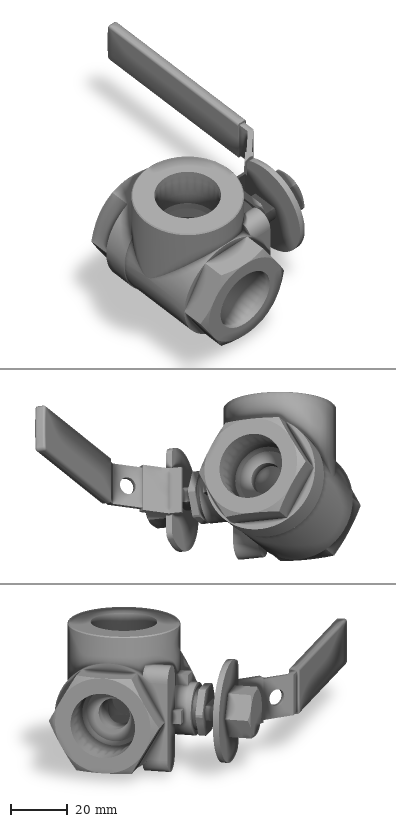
import cadquery as cq
import math


hex_flat_ratio = math.sqrt(3) / 2

overall_length = 129
end_reach = 29.9
body_half_length = 20.1
body_dia = 40.1
collar_dia = 41.0
collar_length = 9.3
branch_dia = 39.7
branch_edge_chamfer = 0.4
hex_corner_dia = 40.1
chamfer_angle = 30

mouth_dia = 23.5
thread_end_dia = 22.6
thread_depth = 10.7
seat_dia = 20.0
seat_depth = 16.3
passage_dia = 11.4
ball_dia = 22.6

boss_dia = 19.0
boss_top = 26.7
boss_sink = 5.2
neck_dia = 15.0
gland_bottom = 28.4
gland_top = 31.0
gland_flats = 16.9
stem_dia = 11.4
stem_flats = 5.3
nut_top = 48.1
nut_corner_dia = 18.7
nut_turn = -3

lug_reach = 12.9
lug_bottom = 11.9
lug_top = 24.1
side_lug_width = 4.8
front_lug_width = 5.7
pad_width = 10.5
pad_length = 38.7
pad_bottom = lug_bottom
pad_top = 21.0

sheet = 2.2
plate_bottom = 37.0
plate_top = plate_bottom + sheet
plate_radius = 18.3
plate_flat_x = -9.3
plate_corner_radius = 2.6
lever_width = 16.6
arm_width = 14.8
arm_step_y = 44.9
arm_thickness = 1.9
root_thickness = 2.8
handle_y = 54.0
arm_bend_x = -25.8
arm_hole_dia = 6.0
arm_hole_y = 48.9
tab_left = -11.5
tab_thickness = 1.0
tab_bottom = 32.8

grip_length = 68.5
grip_thickness = 3.9
grip_edge_radius = 0.9
grip_corner_radius = 1.3
grip_left = end_reach - overall_length
grip_end_bulge = 0.5


def cylinder_y(diameter, bottom, top):
    return cq.Workplane("XZ", origin=(0, bottom, 0)).circle(diameter / 2).extrude(bottom - top)


def box_between(x0, x1, y0, y1, width):
    """Block spanning the given X and Y ranges, centred on Z = 0."""
    return cq.Workplane("XY").box(x1 - x0, y1 - y0, width).translate(((x0 + x1) / 2, (y0 + y1) / 2, 0))


def chamfered_hexagon(corner_dia, length):
    """Hexagonal bar along +Z from the origin, corners turned off at its far end."""
    corner_radius = corner_dia / 2
    flat_radius = corner_radius * hex_flat_ratio
    drop = (corner_radius - flat_radius) * math.tan(math.radians(chamfer_angle))
    profile = [
        (0, 0),
        (corner_radius, 0),
        (corner_radius, length - drop),
        (flat_radius, length),
        (0, length),
    ]
    turned = (
        cq.Workplane("XZ")
        .polyline(profile)
        .close()
        .revolve(360, (0, 0), (0, 1))
    )
    return cq.Workplane("XY").polygon(6, corner_dia).extrude(length).intersect(turned)


def port_bore():
    """Bore of a port opening at +Z: taper, straight relief, 45 degree seat cone and inner passage."""
    seat_cone_height = (thread_end_dia - seat_dia) / 2
    profile = [
        (0, -passage_dia / 2),
        (passage_dia / 2, -passage_dia / 2),
        (passage_dia / 2, end_reach - seat_depth),
        (seat_dia / 2, end_reach - seat_depth),
        (thread_end_dia / 2, end_reach - seat_depth + seat_cone_height),
        (thread_end_dia / 2, end_reach - thread_depth),
        (mouth_dia / 2, end_reach),
        (0, end_reach),
    ]
    return cq.Workplane("XZ").polyline(profile).close().revolve(360, (0, 0), (0, 1))


def toward_x(shape, direction):
    """Turn a +Z shape so that it points along +X or -X."""
    return shape.rotate((0, 0, 0), (0, 1, 0), 90 * direction)


def body():
    left_end = cq.Workplane("YZ", origin=(-body_half_length, 0, 0))
    barrel = left_end.circle(body_dia / 2).extrude(2 * body_half_length)
    collar = left_end.circle(collar_dia / 2).extrude(collar_length)
    branch = cq.Workplane("XY").circle(branch_dia / 2).extrude(end_reach)
    branch = branch.faces(">Z").edges().chamfer(branch_edge_chamfer)
    shape = barrel.union(collar).union(branch)
    end = chamfered_hexagon(hex_corner_dia, end_reach).rotate((0, 0, 0), (0, 0, 1), 90)
    for direction in (1, -1):
        shape = shape.union(toward_x(end, direction))
    return shape


def cut_ports(shape):
    bore = port_bore()
    closing_ball = cq.Workplane("XY").sphere(ball_dia / 2)
    shape = shape.cut(toward_x(bore, -1).cut(closing_ball))
    return shape.cut(toward_x(bore, 1)).cut(bore)


def stop_lugs():
    side_lugs = box_between(-lug_reach, lug_reach, lug_bottom, lug_top, side_lug_width)
    front_lug = box_between(-front_lug_width / 2, front_lug_width / 2, lug_bottom, lug_top, lug_reach)
    return side_lugs.union(front_lug.translate((0, 0, lug_reach / 2)))


def mounting_pad():
    pad_x = body_half_length - pad_width / 2
    pad = cq.Workplane("XZ", origin=(pad_x, pad_bottom, 0)).slot2D(pad_length, pad_width, 90)
    return pad.extrude(pad_bottom - pad_top)


def stem_stack():
    boss = cylinder_y(boss_dia, body_dia / 2 - boss_sink, boss_top)
    neck = cylinder_y(neck_dia, boss_top, gland_bottom)
    gland_hex = cq.Workplane("XZ", origin=(0, gland_bottom, 0))
    gland_corner_dia = gland_flats / hex_flat_ratio
    gland_hex = gland_hex.polygon(6, gland_corner_dia).extrude(gland_bottom - gland_top)
    gland = gland_hex.intersect(cylinder_y(boss_dia, gland_bottom, gland_top))
    stem = cylinder_y(stem_dia, gland_top, plate_top)
    stem = stem.intersect(box_between(-stem_dia, stem_dia, gland_top, plate_top, stem_flats))
    nut = chamfered_hexagon(nut_corner_dia, nut_top - plate_top)
    nut = nut.rotate((0, 0, 0), (1, 0, 0), -90).rotate((0, 0, 0), (0, 1, 0), -nut_turn)
    nut = nut.translate((0, plate_top, 0))
    return boss.union(neck).union(gland).union(stem).union(nut)


def stop_plate():
    plate = cylinder_y(2 * plate_radius, plate_bottom, plate_top)
    keep = box_between(plate_flat_x, plate_radius, plate_bottom, plate_top, 2 * plate_radius)
    trimmed = plate.intersect(keep)
    return trimmed.edges("|Y").edges("<X").fillet(plate_corner_radius)


def lever_arm():
    """Strip from the handle down a 45 degree slope to a wider, thicker root on the stop plate."""
    handle_top = handle_y + sheet / 2
    handle_bottom = handle_y - sheet / 2
    grip_end = grip_left + grip_length
    outer_sum = arm_bend_x + handle_top
    inner_sum = outer_sum - arm_thickness * math.sqrt(2)
    strip_outline = [
        (grip_end, handle_top),
        (arm_bend_x, handle_top),
        (outer_sum - plate_top, plate_top),
        (inner_sum - plate_bottom, plate_bottom),
        (inner_sum - handle_bottom, handle_bottom),
        (grip_end, handle_bottom),
    ]
    strip = cq.Workplane("XY").polyline(strip_outline).close().extrude(arm_width / 2, both=True)

    root_step = (root_thickness - arm_thickness) / 2
    root_outer_sum = outer_sum + root_step * math.sqrt(2)
    root_inner_sum = inner_sum - root_step * math.sqrt(2)
    step_difference = 2 * arm_step_y - inner_sum
    root_outline = [
        ((root_outer_sum - step_difference) / 2, (root_outer_sum + step_difference) / 2),
        (root_outer_sum - plate_top, plate_top),
        (0, plate_top),
        (0, plate_bottom),
        (tab_left, plate_bottom),
        (tab_left, root_inner_sum - tab_left),
        ((root_inner_sum - step_difference) / 2, (root_inner_sum + step_difference) / 2),
    ]
    root = cq.Workplane("XY").polyline(root_outline).close().extrude(lever_width / 2, both=True)

    hole_plane = cq.Plane(
        origin=(inner_sum - arm_hole_y, arm_hole_y, 0), xDir=(0, 0, 1), normal=(1, 1, 0)
    )
    hole = cq.Workplane(hole_plane).circle(arm_hole_dia / 2).extrude(2 * sheet, both=True)
    tab = box_between(tab_left, tab_left + tab_thickness, tab_bottom, plate_bottom, lever_width)
    return strip.cut(hole).union(root).union(tab)


def grip():
    half = lever_width / 2
    right = grip_left + grip_length
    corner_x = grip_left + grip_end_bulge
    sleeve = (
        cq.Workplane("XZ", origin=(0, handle_y + grip_thickness / 2, 0))
        .moveTo(right, -half)
        .lineTo(right, half)
        .lineTo(corner_x, half)
        .threePointArc((grip_left, 0), (corner_x, -half))
        .close()
        .extrude(grip_thickness)
    )
    rounded = sleeve.edges("|Y").edges("<X").fillet(grip_corner_radius)
    return rounded.faces("<Y or >Y").edges("not >X").fillet(grip_edge_radius)


valve = cut_ports(body().union(stop_lugs()).union(mounting_pad()).union(stem_stack()))
result = valve.union(stop_plate()).union(lever_arm()).union(grip())